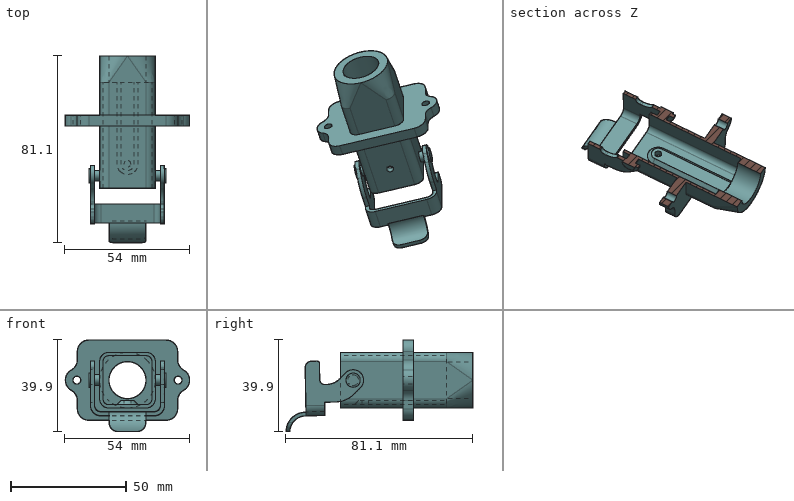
import cadquery as cq
import math


body_width = 24.2
body_radius = 4.0
body_length = 57.5
wall = 1.5
taper_length = 11.5
bore_diameter = 16.0

boss_y = 10.7
boss_base_radius = 4.6
boss_height = 1.7
boss_top_radius = boss_base_radius - boss_height
boss_hole_diameter = 2.8

flange_y = 27.1
flange_thickness = 4.7
flange_width = 43.6
flange_height = 34.9
flange_radius = 5.0
ear_x = 22.0
ear_hole_diameter = 3.3

pin_y = 5.5
pin_diameter = 4.7
pin_head_diameter = 6.2
pin_head_height = 0.7

latch_width = 32.1
latch_thickness = 1.8
latch_bottom = -15.2
latch_bend_radius = 4.5
latch_tilt = 1.0
eye_radius = 4.55
neck_angle = 44.0
neck_top_z = -1.6
neck_bottom_z = -9.4
neck_top_radius = 8.1
neck_bottom_radius = 12.0
strap_front_y = -20.8
strap_rear_y = -12.5
hook_rear_y = -14.4
hook_top_z = 8.6
hook_root_radius = 2.0
hook_rear_radius = 1.05
hook_front_radius = 2.9

tongue_width = 16.0
tongue_radius = 8.5
tongue_thickness = 1.7
tongue_front_y = body_length - 81.1
tongue_bottom_z = -22.4
tongue_corner_radius = 4.0


def xz_plane(y):
    """Work plane at the given Y; positive extrusion goes towards +Y and local x is -X."""
    return cq.Workplane(cq.Plane(origin=(0, y, 0), xDir=(-1, 0, 0), normal=(0, 1, 0)))


def across_x(profile, width):
    """Extrude a YZ profile to the given width, centred on X = 0."""
    return profile.extrude(width / 2, both=True)


def rounded_bar(width, radius, y, length):
    """Square bar along +Y with rounded long edges."""
    return xz_plane(y).rect(width, width).extrude(length).edges("|Y").fillet(radius)


def quarter_disc(y, offset, radius):
    """Quarter-disc wire with its centre the same offset out along both x and z."""
    middle = offset + radius * math.sqrt(0.5)
    return (
        xz_plane(y).moveTo(offset, offset).lineTo(offset + radius, offset)
        .threePointArc((middle, middle), (offset, offset + radius)).close().val()
    )


def build_rear_taper():
    """Convex blend from the rounded square to the circle: two crossed wedges and four cone sectors."""
    half = body_width / 2
    flat = half - body_radius
    start_y = body_length - taper_length
    flat_side = [(start_y, -flat), (start_y, flat), (body_length, 0)]
    wedge = across_x(cq.Workplane("YZ").polyline(flat_side).close(), body_width)
    taper = wedge.union(wedge.rotate((0, 0, 0), (0, 1, 0), 90))
    wires = [quarter_disc(start_y, flat, body_radius), quarter_disc(body_length, 0, half)]
    sector = cq.Workplane(cq.Solid.makeLoft(wires, True))
    for quarter in range(4):
        taper = taper.union(sector.rotate((0, 0, 0), (0, 1, 0), 90 * quarter))
    return taper


def build_flange():
    """Rounded plate with two drilled ears blended into its sides, all with one radius."""
    plate = (
        xz_plane(flange_y).rect(flange_width, flange_height).extrude(flange_thickness)
        .edges("|Y").fillet(flange_radius)
    )
    blend_x = flange_width / 2 + flange_radius
    blend_z = math.sqrt((2 * flange_radius) ** 2 - (blend_x - ear_x) ** 2)
    touch_x = (blend_x + ear_x) / 2
    touch_z = blend_z / 2
    for side in (-1, 1):
        web_outline = [
            (side * ear_x, 0),
            (side * touch_x, touch_z),
            (side * blend_x, blend_z),
            (side * flange_width / 2, blend_z),
            (side * flange_width / 2, -blend_z),
            (side * blend_x, -blend_z),
            (side * touch_x, -touch_z),
        ]
        blends = (
            xz_plane(flange_y).pushPoints([(side * blend_x, blend_z), (side * blend_x, -blend_z)])
            .circle(flange_radius).extrude(flange_thickness)
        )
        ear = xz_plane(flange_y).center(side * ear_x, 0).circle(flange_radius).extrude(flange_thickness)
        web = xz_plane(flange_y).polyline(web_outline).close().extrude(flange_thickness).cut(blends)
        plate = plate.union(web).union(ear)
    holes = (
        xz_plane(flange_y).pushPoints([(-ear_x, 0), (ear_x, 0)])
        .circle(ear_hole_diameter / 2).extrude(flange_thickness)
    )
    return plate.cut(holes)


def build_housing():
    """Square tube with a flange, a round-ended rear and a sloped screw boss on the cavity floor."""
    cavity_depth = body_length - taper_length
    floor_z = wall - body_width / 2
    housing = rounded_bar(body_width, body_radius, 0, cavity_depth)
    housing = housing.union(build_rear_taper()).union(build_flange())
    housing = housing.cut(rounded_bar(body_width - 2 * wall, body_radius - wall, 0, cavity_depth))
    housing = housing.cut(xz_plane(0).circle(bore_diameter / 2).extrude(body_length))

    boss = (
        cq.Workplane("XY", origin=(0, boss_y, floor_z)).circle(boss_base_radius)
        .workplane(offset=boss_height).circle(boss_top_radius).loft(ruled=True)
    )
    boss_section = [
        (-boss_base_radius, floor_z),
        (-boss_top_radius, floor_z + boss_height),
        (boss_top_radius, floor_z + boss_height),
        (boss_base_radius, floor_z),
    ]
    ridge = xz_plane(boss_y).polyline(boss_section).close().extrude(cavity_depth - boss_y)
    boss_hole = (
        cq.Workplane("XY", origin=(0, boss_y, floor_z - wall))
        .circle(boss_hole_diameter / 2).extrude(wall + boss_height)
    )
    return housing.union(boss.union(ridge)).cut(boss_hole)


def build_latch_frame():
    """U-shaped strap whose two arms carry a pivot eye and a hook."""
    angle = math.radians(neck_angle)
    slope = math.tan(angle)
    tangent_y = eye_radius * math.sin(angle)
    tangent_z = eye_radius * math.cos(angle)
    neck_top_y = -tangent_y - (tangent_z - neck_top_z) / slope
    neck_bottom_y = tangent_y + (neck_bottom_z + tangent_z) / slope
    side_outline = [
        (0, 0),
        (-tangent_y, tangent_z),
        (neck_top_y, neck_top_z),
        (hook_rear_y, neck_top_z),
        (hook_rear_y, hook_top_z),
        (strap_front_y, hook_top_z),
        (strap_front_y, latch_bottom),
        (strap_rear_y, latch_bottom),
        (strap_rear_y, neck_bottom_z),
        (neck_bottom_y, neck_bottom_z),
        (tangent_y, -tangent_z),
    ]
    side = across_x(cq.Workplane("YZ").polyline(side_outline).close(), latch_width)
    rounded_corners = [
        (neck_top_y, neck_top_z, neck_top_radius),
        (neck_bottom_y, neck_bottom_z, neck_bottom_radius),
        (hook_rear_y, neck_top_z, hook_root_radius),
        (hook_rear_y, hook_top_z, hook_rear_radius),
        (strap_front_y, hook_top_z, hook_front_radius),
    ]
    for y, z, radius in rounded_corners:
        side = side.edges(cq.selectors.NearestToPointSelector((0, y, z))).fillet(radius)
    side = side.union(across_x(cq.Workplane("YZ").circle(eye_radius), latch_width))

    inner_width = latch_width - 2 * latch_thickness
    length = eye_radius - strap_front_y
    height = hook_top_z - latch_bottom
    outside = cq.Workplane("XY", origin=(0, strap_front_y + length / 2, latch_bottom))
    outside = outside.rect(latch_width, length).extrude(height)
    outside = outside.edges("|Y and <Z").fillet(latch_bend_radius)
    inside = cq.Workplane("XY", origin=(0, strap_front_y + length / 2, latch_bottom + latch_thickness))
    inside = inside.rect(inner_width, length).extrude(height)
    inside = inside.edges("|Y and <Z").fillet(latch_bend_radius - latch_thickness)
    frame = side.intersect(outside).cut(inside)
    return frame.rotate((0, 0, 0), (1, 0, 0), latch_tilt).translate((0, pin_y, 0))


def build_tongue():
    """Quarter-round finger tab curling down from the front of the strap."""
    root_y = tongue_front_y + tongue_radius
    inner_radius = tongue_radius - tongue_thickness
    ring = across_x(
        cq.Workplane("YZ", origin=(0, root_y, tongue_bottom_z)).circle(tongue_radius).circle(inner_radius),
        tongue_width,
    )
    overlap = latch_thickness / 2
    depth = tongue_radius + overlap
    outline = (
        cq.Workplane("XY", origin=(0, tongue_front_y + depth / 2, tongue_bottom_z))
        .rect(tongue_width, depth).extrude(tongue_radius)
        .edges("|Y and <Z").fillet(tongue_corner_radius)
    )
    return ring.intersect(outline)


def build_pins():
    """One headed pin per side, from the housing wall out through the latch arm."""
    arm_face = latch_width / 2
    wall_middle = (body_width - wall) / 2
    shaft = cq.Workplane("YZ", origin=(wall_middle, pin_y, 0)).circle(pin_diameter / 2)
    shaft = shaft.extrude(arm_face - wall_middle)
    head = cq.Workplane("YZ", origin=(arm_face, pin_y, 0)).circle(pin_head_diameter / 2)
    head = head.extrude(pin_head_height)
    pin = shaft.union(head)
    return pin.union(pin.mirror("YZ"))


result = build_housing().union(build_pins()).union(build_latch_frame()).union(build_tongue())